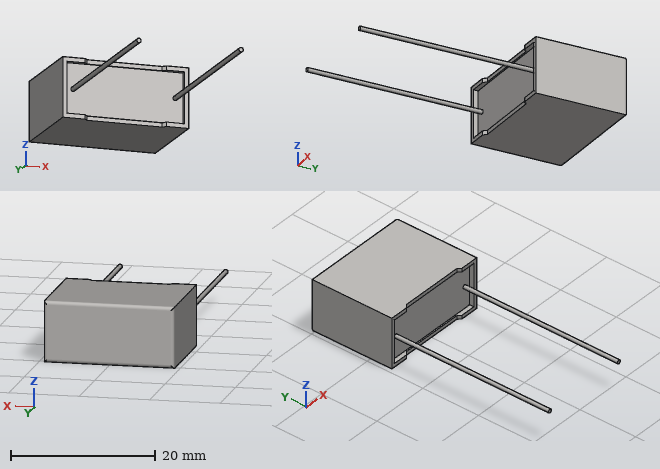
import cadquery as cq

case_length = 18.5
case_height = 14.6
case_thickness = 8.71
wall = 0.63
back_edge_radius = 0.5

notch_depth = 0.5
notch_floor_length = 11.0
notch_mouth_length = notch_floor_length + 2 * notch_depth

fill_recess = 0.75
cavity_length = case_length - 2 * wall
cavity_thickness = case_thickness - 2 * wall
cavity_floor = case_height - wall

lead_diameter = 0.65
lead_pitch = 15.0
overall_height = 41.6
lead_projection = overall_height - case_height


def block(length, thickness, y_start, y_end):
    """Box centred on X and Z that spans y_start to y_end."""
    return cq.Workplane("XY").box(length, y_end - y_start, thickness).translate((0, (y_start + y_end) / 2, 0))


def make_notch_cutter():
    """Trapezoid with slanted ends, cutting through both long walls."""
    return (
        cq.Workplane("XY")
        .polyline(
            [
                (-notch_mouth_length / 2, 0),
                (-notch_floor_length / 2, notch_depth),
                (notch_floor_length / 2, notch_depth),
                (notch_mouth_length / 2, 0),
            ]
        )
        .close()
        .extrude(case_thickness / 2, both=True)
    )


def make_case():
    shell = block(case_length, case_thickness, 0, case_height)
    shell = shell.faces(">Y").edges().fillet(back_edge_radius)
    cavity = block(cavity_length, cavity_thickness, 0, cavity_floor)
    return shell.cut(cavity).cut(make_notch_cutter())


def make_fill():
    return block(cavity_length, cavity_thickness, fill_recess, cavity_floor)


def make_lead(x):
    """Round wire standing on the face of the fill and running towards -Y."""
    return (
        cq.Workplane("XZ", origin=(x, fill_recess, 0))
        .circle(lead_diameter / 2)
        .extrude(fill_recess + lead_projection)
    )


case = make_case()
fill = make_fill()
leads = [make_lead(side * lead_pitch / 2) for side in (-1, 1)]

result = cq.Compound.makeCompound([case.val(), fill.val(), *[lead.val() for lead in leads]])